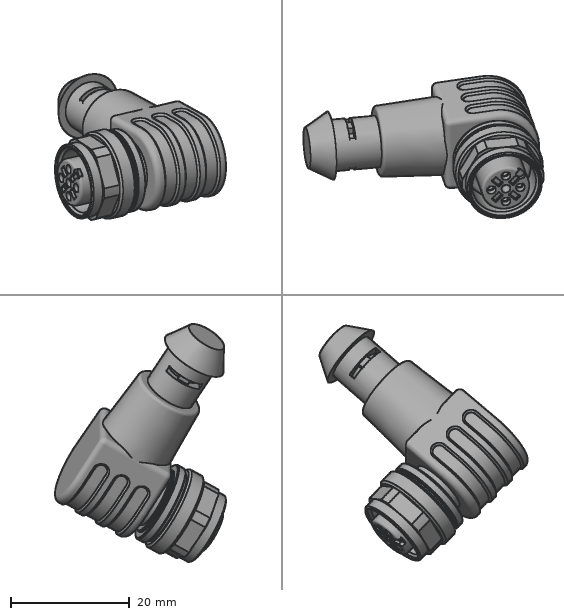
import cadquery as cq
import math


CABLE_RADIUS = 4.395
TAIL_LENGTH = 4.03
TAIL_SMALL_RADIUS = 3.5
TAIL_LARGE_RADIUS = 5.8

WINDOW_START = 6.75
WINDOW_LENGTH = 1.05
WINDOW_WIDTH = 6.45
WINDOW_FLOOR_Z = 0.6
CORE_RADIUS = 2.8
RIB_WIDTH = 2.05
RIB_TOP_Z = 3.65

OVERALL_LENGTH = 38.72
BODY_START = 22.55
BODY_DEPTH = 13.95
BODY_END_RADIUS = 7.2
BODY_TAPER = 3.5
BODY_FILLET = 0.95

BOOT_START = 12.0
BOOT_FILLET = 0.55

GROOVE_COUNT = 3
GROOVE_PITCH = 4.0
GROOVE_START = 26.5
GROOVE_HALF_WIDTH = 1.45
GROOVE_FLOOR_HALF_WIDTH = 1.1
GROOVE_DEPTH = 0.4

PLUG_X = 30.6
NECK_RADIUS = 4.8
NECK_LENGTH = 1.2
WASHER_RADIUS = 5.905
WASHER_LENGTH = 0.4
WASHER_CHAMFER = 0.15
FLANGE_RADIUS = 7.12
FLANGE_LENGTH = 1.6
FLANGE_CHAMFER = 0.2
WAIST_RADIUS = 6.5
WAIST_LENGTH = 0.5
COLLAR_RADIUS = 7.492
COLLAR_LENGTH = 3.02
COLLAR_CHAMFER = 0.4
HEX_ACROSS_FLATS = 12.95
HEX_CORNER_RADIUS = 7.0
HEX_LENGTH = 3.0
SHELL_RADIUS = 6.41
SHELL_LENGTH = 1.95
SHELL_CHAMFER = 0.25

MOUTH_RADIUS = 5.905
MOUTH_LENGTH = 0.35
MOUTH_TAPER_LENGTH = 0.43
SOCKET_RADIUS = 5.48
SOCKET_DEPTH = 5.8

INSERT_RADIUS = 4.05
INSERT_FILLET = 0.45
INSERT_PROTRUSION = 0.93
CONTACT_CIRCLE_RADIUS = 2.48
CONTACT_COUNT = 4
CONTACT_RADIUS = 0.6
CONTACT_MOUTH_RADIUS = 0.755
CONTACT_MOUTH_DEPTH = 1.15
CONTACT_DEPTH = 2.32
POCKET_RADIAL_POSITION = 2.1
POCKET_LENGTH = 1.7
POCKET_WIDTH = 1.0
POCKET_DEPTH = 0.6
KEYWAY_RADIUS = 0.8
KEYWAY_RADIAL_POSITION = 3.55
KEYWAY_DEPTH = 0.77

OVERLAP = 1.95
TAPER = math.radians(BODY_TAPER)
BODY_END_X = OVERALL_LENGTH - BODY_END_RADIUS
TANGENT_X = BODY_END_X - BODY_END_RADIUS * math.sin(TAPER)
TANGENT_Z = BODY_END_RADIUS * math.cos(TAPER)
BOOT_END = BODY_START + BODY_FILLET
BODY_FACE_Y = -BODY_DEPTH / 2
NECK_END = BODY_FACE_Y - NECK_LENGTH
WASHER_END = NECK_END - WASHER_LENGTH
FLANGE_END = WASHER_END - FLANGE_LENGTH
WAIST_END = FLANGE_END - WAIST_LENGTH
COLLAR_END = WAIST_END - COLLAR_LENGTH
HEX_END = COLLAR_END - HEX_LENGTH
SHELL_END = HEX_END - SHELL_LENGTH
INSERT_END = SHELL_END - INSERT_PROTRUSION
SOCKET_FLOOR = SHELL_END + SOCKET_DEPTH


def half_height(x):
    """Half height of the tapered part of the body at position x."""
    return TANGENT_Z - (TANGENT_X - x) * math.tan(TAPER)


def plug_plane(y):
    """Sketch plane across the plug axis; local x is X, local y is Z, normal is -Y."""
    return cq.Workplane(cq.Plane(origin=(PLUG_X, y, 0), xDir=(1, 0, 0), normal=(0, -1, 0)))


def plug_cylinder(start_y, end_y, radius):
    return plug_plane(start_y).circle(radius).extrude(start_y - end_y)


def cable_cylinder(start_x, end_x, radius):
    return cq.Workplane("YZ", origin=(start_x, 0, 0)).circle(radius).extrude(end_x - start_x)


def cable_cone(start_x, end_x, start_radius, end_radius):
    return cq.Workplane(
        cq.Solid.makeCone(
            start_radius, end_radius, end_x - start_x, cq.Vector(start_x, 0, 0), cq.Vector(1, 0, 0)
        )
    )


def make_window():
    """Cutter for the upper window: a slot across the cable that spares the core and its rib."""
    plane = cq.Workplane("YZ", origin=(WINDOW_START, 0, 0))
    slot_height = CABLE_RADIUS - WINDOW_FLOOR_Z
    slot = (
        plane.center(0, WINDOW_FLOOR_Z + slot_height / 2).rect(WINDOW_WIDTH, slot_height).extrude(WINDOW_LENGTH)
    )
    core = plane.circle(CORE_RADIUS).extrude(WINDOW_LENGTH)
    rib = plane.center(0, RIB_TOP_Z / 2).rect(RIB_WIDTH, RIB_TOP_Z).extrude(WINDOW_LENGTH)
    return slot.cut(core).cut(rib)


def make_cable():
    tail = cable_cone(0, TAIL_LENGTH, TAIL_SMALL_RADIUS, TAIL_LARGE_RADIUS)
    cable = cable_cylinder(TAIL_LENGTH, BOOT_START + OVERLAP, CABLE_RADIUS)
    window = make_window()
    return tail.union(cable).cut(window).cut(window.mirror("XY"))


def make_boot():
    boot = cable_cone(BOOT_START, BOOT_END, half_height(BOOT_START), half_height(BOOT_END))
    return boot.faces("<X").edges().fillet(BOOT_FILLET)


def make_groove_cutters(y):
    """Cutters with sloped walls: two round-ended runs joined by a turn around the body end."""
    floor_radius = BODY_END_RADIUS - GROOVE_DEPTH
    run_end = GROOVE_START + GROOVE_HALF_WIDTH
    run_length = (TANGENT_X - run_end) / math.cos(TAPER)
    half_profile = [
        (floor_radius, 0),
        (floor_radius, GROOVE_FLOOR_HALF_WIDTH),
        (BODY_END_RADIUS, GROOVE_HALF_WIDTH),
        (BODY_END_RADIUS + OVERLAP, GROOVE_HALF_WIDTH),
        (BODY_END_RADIUS + OVERLAP, 0),
    ]
    profile = half_profile[1:4] + [(radius, -offset) for radius, offset in reversed(half_profile[1:4])]
    outward = cq.Vector(-math.sin(TAPER), 0, math.cos(TAPER))
    back = cq.Vector(-math.cos(TAPER), 0, -math.sin(TAPER))
    center = cq.Vector(BODY_END_X, y, 0)
    turn_plane = cq.Workplane(cq.Plane(origin=center, xDir=outward, normal=back))
    end_plane = turn_plane.workplane(offset=run_length)
    run = turn_plane.polyline(profile).close().extrude(run_length)
    end = end_plane.polyline(half_profile).close().revolve(180, (0, 0), (1, 0))
    turn = turn_plane.polyline(profile).close().revolve(180 + 2 * BODY_TAPER, (0, 0), (0, 1))
    return [run, end, run.mirror("XY"), end.mirror("XY"), turn]


def make_body():
    start_z = half_height(BODY_START)
    body = (
        cq.Workplane("XZ", origin=(0, BODY_DEPTH / 2, 0))
        .moveTo(BODY_START, -start_z)
        .lineTo(TANGENT_X, -TANGENT_Z)
        .threePointArc((OVERALL_LENGTH, 0), (TANGENT_X, TANGENT_Z))
        .lineTo(BODY_START, start_z)
        .close()
        .extrude(BODY_DEPTH)
    )
    body = body.faces("<X or <Y or >Y").edges().fillet(BODY_FILLET)
    for index in range(GROOVE_COUNT):
        groove_y = (index - (GROOVE_COUNT - 1) / 2) * GROOVE_PITCH
        for cutter in make_groove_cutters(groove_y):
            body = body.cut(cutter)
    return body


def make_hex():
    """Hexagon with two flats facing up and down and its corners turned round."""
    across_corners = HEX_ACROSS_FLATS / math.cos(math.radians(30))
    hexagon = plug_plane(COLLAR_END).polygon(6, across_corners).extrude(HEX_LENGTH)
    return hexagon.intersect(plug_cylinder(COLLAR_END, HEX_END, HEX_CORNER_RADIUS))


def make_plug():
    neck = plug_cylinder(BODY_FACE_Y + OVERLAP, NECK_END, NECK_RADIUS)
    washer = plug_cylinder(NECK_END, WASHER_END, WASHER_RADIUS)
    flange = plug_cylinder(WASHER_END, FLANGE_END, FLANGE_RADIUS)
    waist = plug_cylinder(FLANGE_END, WAIST_END, WAIST_RADIUS)
    collar = plug_cylinder(WAIST_END, COLLAR_END, COLLAR_RADIUS)
    shell = plug_cylinder(HEX_END, SHELL_END, SHELL_RADIUS)
    washer = washer.faces(">Y").edges().chamfer(WASHER_CHAMFER)
    flange = flange.edges().chamfer(FLANGE_CHAMFER)
    collar = collar.edges().chamfer(COLLAR_CHAMFER)
    shell = shell.faces("<Y").edges().chamfer(SHELL_CHAMFER)
    plug = neck
    for section in (washer, flange, waist, collar, make_hex(), shell):
        plug = plug.union(section)
    return plug.cut(make_socket()).union(make_seal_ring()).union(make_insert())


def make_socket():
    taper_start = SHELL_END + MOUTH_LENGTH
    bore = plug_cylinder(SOCKET_FLOOR, SHELL_END, SOCKET_RADIUS)
    mouth = plug_cylinder(taper_start, SHELL_END, MOUTH_RADIUS)
    taper = cq.Solid.makeCone(
        MOUTH_RADIUS,
        SOCKET_RADIUS,
        MOUTH_TAPER_LENGTH,
        cq.Vector(PLUG_X, taper_start, 0),
        cq.Vector(0, 1, 0),
    )
    return bore.union(mouth).union(cq.Workplane(taper))


def make_seal_ring():
    ring_radius = (SOCKET_RADIUS + INSERT_RADIUS) / 2
    section_radius = (SOCKET_RADIUS - INSERT_RADIUS) / 2
    ring = cq.Solid.makeTorus(
        ring_radius, section_radius, cq.Vector(PLUG_X, SOCKET_FLOOR, 0), cq.Vector(0, 1, 0)
    )
    return cq.Workplane(ring)


def make_insert():
    insert = plug_cylinder(SOCKET_FLOOR + OVERLAP, INSERT_END, INSERT_RADIUS)
    insert = insert.faces("<Y").edges().fillet(INSERT_FILLET)
    face = plug_plane(INSERT_END)
    contacts = face.polarArray(CONTACT_CIRCLE_RADIUS, 0, 360, CONTACT_COUNT)
    holes = contacts.circle(CONTACT_RADIUS).extrude(-CONTACT_DEPTH)
    mouths = (
        face.polarArray(CONTACT_CIRCLE_RADIUS, 0, 360, CONTACT_COUNT)
        .circle(CONTACT_MOUTH_RADIUS)
        .extrude(-CONTACT_MOUTH_DEPTH)
    )
    center_hole = face.circle(CONTACT_MOUTH_RADIUS).extrude(-CONTACT_DEPTH)
    pockets = (
        face.polarArray(POCKET_RADIAL_POSITION, 45, 360, CONTACT_COUNT)
        .rect(POCKET_LENGTH, POCKET_WIDTH)
        .extrude(-POCKET_DEPTH)
    )
    keyway = (
        face.polarArray(KEYWAY_RADIAL_POSITION, 45, 360, 1).circle(KEYWAY_RADIUS).extrude(-KEYWAY_DEPTH)
    )
    for cutter in (holes, mouths, center_hole, pockets, keyway):
        insert = insert.cut(cutter)
    return insert


result = make_body().union(make_boot()).union(make_cable()).union(make_plug())